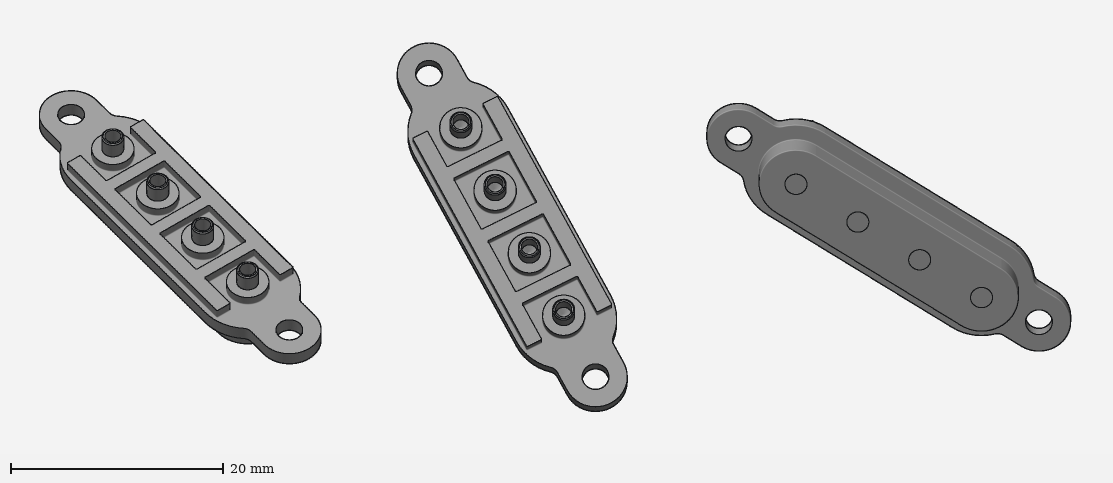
import cadquery as cq
import math

overall_length = 40.0
flange_width = 10.0
flange_thickness = 1.5
lug_width = 6.0
lug_hole_diameter = 2.5
lug_blend_radius = 1.0

skirt_height = 2.5
skirt_width = 6.95

pin_count = 4
pin_pitch = 7.0
pin_diameter = 2.1
pin_top_height = 6.75
bore_diameter = 1.5
bore_depth = 1.7
drill_point_angle = 118.0
pin_rim_chamfer = 0.1

raised_height = 1.0
rail_length = 23.35
rail_outer_width = 9.05
rail_inner_width = 5.9
crossbar_width = 1.3
boss_diameter = 4.0

edge_radius = 0.1

flange_radius = flange_width / 2
lug_radius = lug_width / 2
lug_center_x = overall_length / 2 - lug_radius
flange_top = skirt_height + flange_thickness
rail_width = (rail_outer_width - rail_inner_width) / 2
rail_center_y = (rail_outer_width + rail_inner_width) / 4
row_half_length = pin_pitch * (pin_count - 1) / 2
pin_positions = [(i * pin_pitch - row_half_length, 0) for i in range(pin_count)]
crossbar_positions = [(x + pin_pitch / 2, 0) for x, _ in pin_positions[:-1]]


def stadium(length, width, height):
    """Upright plate with fully rounded ends, standing on the XY plane."""
    return cq.Workplane("XY").slot2D(length, width).extrude(height)


def make_flange():
    """Rounded plate whose ends blend into the two lugs."""
    body = stadium(2 * (row_half_length + flange_radius), flange_width, flange_thickness)
    lugs = stadium(overall_length, lug_width, flange_thickness)
    corner_x = row_half_length + math.sqrt(flange_radius**2 - lug_radius**2)
    corners = cq.selectors.BoxSelector(
        (-corner_x - edge_radius, -lug_radius - edge_radius, 0),
        (corner_x + edge_radius, lug_radius + edge_radius, flange_thickness),
    )
    flange = body.union(lugs).edges("|Z").edges(corners).fillet(lug_blend_radius)
    flange = flange.faces("<Z").edges().fillet(edge_radius)
    holes = (
        cq.Workplane("XY")
        .pushPoints([(-lug_center_x, 0), (lug_center_x, 0)])
        .circle(lug_hole_diameter / 2)
        .extrude(flange_thickness)
    )
    return flange.cut(holes).translate((0, 0, skirt_height))


def make_skirt():
    """Rounded block below the flange, with its bottom edge rounded."""
    skirt = stadium(2 * row_half_length + skirt_width, skirt_width, skirt_height)
    return skirt.faces("<Z").edges().fillet(edge_radius)


def add_raised_features(base):
    """Add the round-cornered frame of rails and crossbars and the bosses, with filleted feet."""
    top = cq.Workplane("XY").workplane(offset=flange_top)
    rails = (
        top.pushPoints([(0, -rail_center_y), (0, rail_center_y)])
        .rect(rail_length, rail_width)
        .extrude(raised_height)
    )
    crossbars = (
        top.pushPoints(crossbar_positions)
        .rect(crossbar_width, rail_outer_width)
        .extrude(raised_height)
    )
    bosses = top.pushPoints(pin_positions).circle(boss_diameter / 2).extrude(raised_height)
    frame = rails.union(crossbars).edges("|Z").fillet(edge_radius)
    housing = base.union(frame).union(bosses)
    reach_x = row_half_length + boss_diameter
    reach_y = rail_outer_width / 2 + edge_radius
    feet = cq.selectors.BoxSelector(
        (-reach_x, -reach_y, flange_top - edge_radius),
        (reach_x, reach_y, flange_top + edge_radius),
        boundingbox=True,
    )
    return housing.edges(feet).fillet(edge_radius)


def make_housing():
    """Flange, skirt and raised features as one body, with a through hole for each pin."""
    housing = make_flange().union(make_skirt())
    reach_x = row_half_length + skirt_width / 2 + edge_radius
    skirt_root = cq.selectors.BoxSelector(
        (-reach_x, -skirt_width, skirt_height - edge_radius / 2),
        (reach_x, skirt_width, skirt_height + edge_radius / 2),
        boundingbox=True,
    )
    housing = housing.edges(skirt_root).fillet(edge_radius)
    housing = add_raised_features(housing)
    pin_holes = (
        cq.Workplane("XY").pushPoints(pin_positions).circle(pin_diameter / 2).extrude(pin_top_height)
    )
    return housing.cut(pin_holes)


def make_pin(x, y):
    """Round pin, flush with the skirt bottom, with a chamfered rim and a drilled solder cup in its top."""
    bore_radius = bore_diameter / 2
    point_depth = bore_radius / math.tan(math.radians(drill_point_angle / 2))
    bore_floor = pin_top_height - bore_depth
    pin = cq.Workplane("XY").circle(pin_diameter / 2).extrude(pin_top_height)
    pin = pin.faces(">Z").edges().chamfer(pin_rim_chamfer)
    bore = (
        cq.Workplane("XZ")
        .moveTo(0, pin_top_height)
        .lineTo(bore_radius, pin_top_height)
        .lineTo(bore_radius, bore_floor)
        .lineTo(0, bore_floor - point_depth)
        .close()
        .revolve(360, (0, 0), (0, 1))
    )
    return pin.cut(bore).translate((x, y, 0))


housing = make_housing()
pins = [make_pin(x, y) for x, y in pin_positions]

result = cq.Compound.makeCompound([housing.val(), *[pin.val() for pin in pins]])